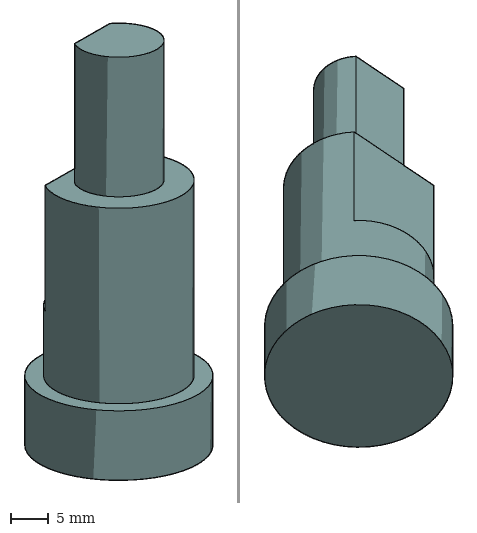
import cadquery as cq

total_height = 58.0
flange_diameter = 25.0
flange_height = 10.0
body_diameter = 20.0
body_top = 38.0
pin_diameter = 12.0

flat_tilt = 15.7
body_flat_start = 20.0
body_flat_distance = 7.1
pin_flat_distance = 4.25


def cylinder(diameter, bottom, top):
    """Round section on the Z axis between two heights."""
    return cq.Workplane("XY").workplane(offset=bottom).circle(diameter / 2).extrude(top - bottom)


def flat_cutter(diameter, distance, bottom, top):
    """Block covering everything beyond a flat at the given distance from the axis."""
    block = cq.Workplane("XY").box(
        diameter, 2 * diameter, top - bottom, centered=(False, True, False)
    )
    block = block.translate((-distance - diameter, 0, bottom))
    return block.rotate((0, 0, 0), (0, 0, 1), -flat_tilt)


flange = cylinder(flange_diameter, 0, flange_height)

body = cylinder(body_diameter, flange_height, body_top)
body = body.cut(flat_cutter(body_diameter, body_flat_distance, body_flat_start, body_top))

pin = cylinder(pin_diameter, body_top, total_height)
pin = pin.cut(flat_cutter(pin_diameter, pin_flat_distance, body_top, total_height))

result = flange.union(body).union(pin)